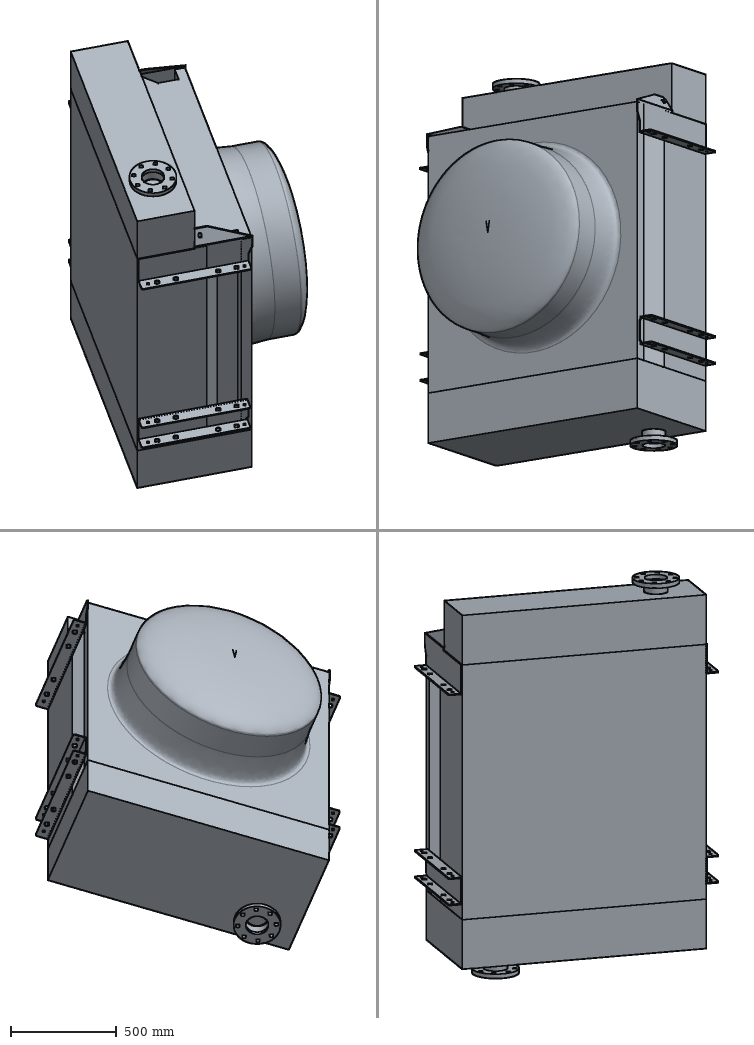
import cadquery as cq
import math

body_width = 1212.0
body_height = 1735.0
body_depth = 561.0
tank_height = 243.0
top_tank_depth = 280.0
half_width = body_width / 2
core_base = tank_height
core_top = body_height - tank_height

recess_depth = 70.0
rear_rim_width = 50.0
recess_floor_width = 101.0
recess_rear = body_depth - rear_rim_width
recess_floor_front = recess_rear - recess_floor_width
recess_front = recess_floor_front - recess_depth

cowl_radius = 465.0
cowl_mouth_radius = 509.0
cowl_throat_radius = 479.0
cowl_throat_y = 593.0
cowl_straight_start = 710.0
cowl_straight_end = 840.0
cowl_rear = 930.0
dome_fullness = 2.25
dome_curve_points = 24
cowl_center_z = body_height / 2

overall_height = 1870.0
nozzle_length = (overall_height - body_height) / 2
nozzle_offset = 398.0
nozzle_y = 133.0
pipe_diameter = 115.0
bore_diameter = 107.0
flange_diameter = 223.0
flange_thickness = 22.0
bolt_circle_diameter = 183.0
bolt_hole_diameter = 19.0
bolt_count = 8

sheet = 5.0
overall_width = 1340.0
bracket_reach = overall_width / 2
web_outer = half_width + sheet
bracket_front = 5.0
flange_corner_radius = 10.0
flange_hole_x = 641.0
small_hole_diameter = 11.0
large_hole_diameter = 22.0
small_hole_ys = (43.0, 516.0)
large_hole_ys = (88.0, 180.0, 387.0, 477.0)

channel_base = 316.0
channel_top = 450.0
channel_web_rear = 545.0
channel_flange_rear = 539.0
channel_chamfer = 19.0

angle_base = 1346.0
angle_flange_rear = 545.0
angle_rear = 565.0
angle_full_depth_z = 1444.0
angle_notch_z = 1397.0
bend_z = 1503.0
lug_top = 1575.0
lug_lean = 49.0
lug_slope_end_y = 355.0
lug_front = top_tank_depth
lug_chamfer = 11.0
lug_hole_y = 315.0
lug_hole_z = 1545.0
lug_hole_diameter = 17.0


def box_between(x0, x1, y0, y1, z0, z1):
    return cq.Workplane("XY").box(x1 - x0, y1 - y0, z1 - z0, centered=False).translate((x0, y0, z0))


def dome_profile(t):
    """(Y, radius) on the dome, from its rim at t = 0 to its apex at t = 1: a slightly full half-ellipse."""
    angle = t * math.pi / 2
    y = cowl_straight_end + (cowl_rear - cowl_straight_end) * math.sin(angle)
    radius = cowl_radius * math.cos(angle) ** (2 / dome_fullness)
    return y, radius


def make_cowl():
    """Bell-mouthed cylinder closed by a dome, revolved about the fan axis."""
    cowl = (
        cq.Workplane("YZ")
        .moveTo(body_depth, 0)
        .lineTo(body_depth, cowl_mouth_radius)
        .spline(
            [(cowl_throat_y, cowl_throat_radius), (cowl_straight_start, cowl_radius)],
            tangents=[(0, -1), (1, 0)],
            includeCurrent=True,
        )
        .lineTo(cowl_straight_end, cowl_radius)
        .parametricCurve(dome_profile, N=dome_curve_points, makeWire=False)
        .close()
        .revolve(360, (0, 0), (1, 0))
    )
    return cowl.translate((0, 0, cowl_center_z))


def make_core():
    """Core block with recessed sides, carrying the fan cowl."""
    block = box_between(-half_width, half_width, 0, body_depth, core_base, core_top)
    for side in (-1, 1):
        outer = side * half_width
        inner = side * (half_width - recess_depth)
        recess = (
            cq.Workplane("XY", origin=(0, 0, core_base))
            .polyline([(outer, recess_rear), (inner, recess_rear),
                       (inner, recess_floor_front), (outer, recess_front)])
            .close()
            .extrude(core_top - core_base)
        )
        block = block.cut(recess)
    return block.union(make_cowl())


def make_nozzle():
    """Pipe with a bolting flange, rising from Z = 0 on the Z axis."""
    flange_base = nozzle_length - flange_thickness
    pipe = cq.Workplane("XY").circle(pipe_diameter / 2).extrude(nozzle_length)
    flange = (
        cq.Workplane("XY", origin=(0, 0, flange_base))
        .circle(flange_diameter / 2)
        .extrude(flange_thickness)
    )
    bolt_holes = (
        cq.Workplane("XY", origin=(0, 0, flange_base))
        .polarArray(bolt_circle_diameter / 2, 180 / bolt_count, 360, bolt_count)
        .circle(bolt_hole_diameter / 2)
        .extrude(flange_thickness)
    )
    bore = cq.Workplane("XY").circle(bore_diameter / 2).extrude(nozzle_length)
    return pipe.union(flange).cut(bolt_holes).cut(bore)


def make_top_tank():
    tank = box_between(-half_width, half_width, 0, top_tank_depth, core_top, body_height)
    return tank.union(make_nozzle().translate((nozzle_offset, nozzle_y, body_height)))


def make_bottom_tank():
    tank = box_between(-half_width, half_width, 0, body_depth, 0, core_base)
    nozzle = make_nozzle().mirror("XY")
    return tank.union(nozzle.translate((-nozzle_offset, nozzle_y, 0)))


def make_flange(base_z, rear):
    """Horizontal bracket flange on the +X side with rounded outer corners and mounting holes."""
    flange = box_between(half_width, bracket_reach, bracket_front, rear, base_z, base_z + sheet)
    flange = flange.edges("|Z and >X").fillet(flange_corner_radius)
    for diameter, places in (
        (small_hole_diameter, small_hole_ys),
        (large_hole_diameter, large_hole_ys),
    ):
        holes = (
            cq.Workplane("XY", origin=(0, 0, base_z))
            .pushPoints([(flange_hole_x, y) for y in places])
            .circle(diameter / 2)
            .extrude(sheet)
        )
        flange = flange.cut(holes)
    return flange


def make_lower_bracket():
    """Channel on the +X side."""
    web = box_between(half_width, web_outer, bracket_front, channel_web_rear, channel_base, channel_top)
    web = web.edges("|X and >Y").chamfer(channel_chamfer)
    for base_z in (channel_base, channel_top - sheet):
        web = web.union(make_flange(base_z, channel_flange_rear))
    return web


def make_upper_bracket():
    """Angle on the +X side whose web continues upwards as an inclined lifting lug."""
    lean_angle = math.atan2(lug_lean, lug_top - bend_z)
    sheet_across = sheet / math.cos(lean_angle)
    section = (
        cq.Workplane("XZ")
        .polyline([
            (half_width, angle_base),
            (web_outer, angle_base),
            (web_outer, bend_z),
            (web_outer - lug_lean, lug_top),
            (web_outer - lug_lean - sheet_across, lug_top),
            (web_outer - sheet_across, bend_z),
            (half_width, bend_z),
        ])
        .close()
        .extrude(-angle_rear)
    )
    side_outline = (
        cq.Workplane("YZ")
        .polyline([
            (bracket_front, angle_base),
            (angle_flange_rear, angle_base),
            (angle_flange_rear, angle_notch_z),
            (angle_rear, angle_full_depth_z),
            (angle_rear, bend_z),
            (lug_slope_end_y, lug_top),
            (lug_front + lug_chamfer, lug_top),
            (lug_front, lug_top - lug_chamfer),
            (lug_front, core_top),
            (bracket_front, core_top),
        ])
        .close()
        .extrude(bracket_reach)
    )
    lug_hole = (
        cq.Workplane("YZ")
        .center(lug_hole_y, lug_hole_z)
        .circle(lug_hole_diameter / 2)
        .extrude(bracket_reach)
    )
    return section.intersect(side_outline).cut(lug_hole).union(make_flange(angle_base, angle_flange_rear))


def on_both_sides(bracket):
    """The +X bracket and its mirror image on the -X side."""
    return [bracket.val(), bracket.mirror("YZ").val()]


core = make_core()
top_tank = make_top_tank()
bottom_tank = make_bottom_tank()
brackets = []
for make_bracket in (make_lower_bracket, make_upper_bracket):
    brackets += on_both_sides(make_bracket())

result = cq.Compound.makeCompound([core.val(), top_tank.val(), bottom_tank.val(), *brackets])